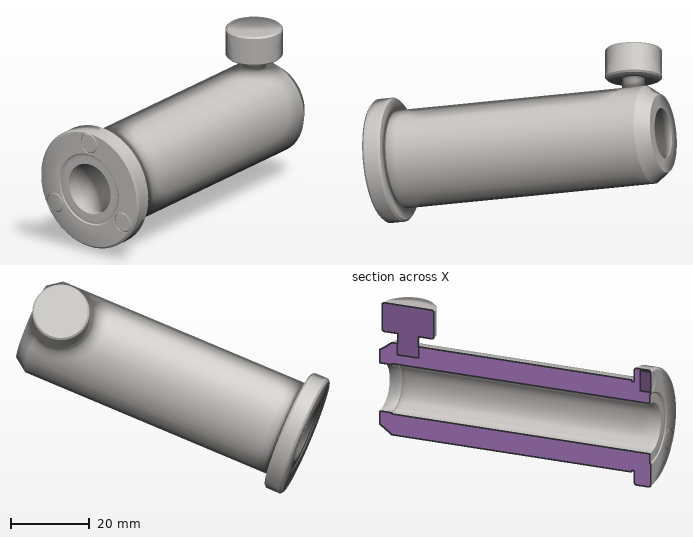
import cadquery as cq
import math

LENGTH = 76.0
TUBE_RADIUS = 12.55
FLANGE_RADIUS = 15.9
FLANGE_THICKNESS = 4.8
FLANGE_CHAMFER = 0.5
NECK_WIDTH = 0.5
NECK_DEPTH = 0.45
TIP_CHAMFER_LENGTH = 3.5
TIP_CHAMFER_DEPTH = 2.5

BORE_RADIUS = 6.8
TIP_BORE_RADIUS = 6.45
RECESS_RADIUS = 9.6
RECESS_TAPER = 0.3
RECESS_DEPTH = 0.3

PIN_COUNT = 3
PIN_RADIUS = 2.65
PIN_CHAMFER = 0.3
PIN_LENGTH = 3.05
PIN_CIRCLE_RADIUS = 12.6
FIRST_PIN_ANGLE = 90.0

KNOB_RADIUS = 7.3
KNOB_HEIGHT = 7.9
KNOB_CHAMFER = 0.45
KNOB_TOP = 23.0
KNOB_Y = 67.95
SHANK_RADIUS = 3.0
SHANK_DEPTH = 3.05

KNOB_BOTTOM = KNOB_TOP - KNOB_HEIGHT
SHANK_BOTTOM = TUBE_RADIUS - SHANK_DEPTH


def cylinder_along_y(radius, length, x=0.0, z=0.0):
    """Cylinder that starts in the flange face and runs toward the tip."""
    return cq.Workplane("XY").add(
        cq.Solid.makeCylinder(radius, length, cq.Vector(x, 0, z), cq.Vector(0, 1, 0))
    )


def make_shank():
    """Round shank from the bottom of its hole up to the knob head."""
    return (
        cq.Workplane("XY", origin=(0, KNOB_Y, SHANK_BOTTOM))
        .circle(SHANK_RADIUS)
        .extrude(KNOB_BOTTOM - SHANK_BOTTOM)
    )


def make_knob():
    head = (
        cq.Workplane("XY", origin=(0, KNOB_Y, KNOB_BOTTOM))
        .circle(KNOB_RADIUS)
        .extrude(KNOB_HEIGHT)
        .edges("%CIRCLE")
        .chamfer(KNOB_CHAMFER)
    )
    return head.union(make_shank())


def pin_centers():
    """X and Z of each pin, evenly spaced around the sleeve axis."""
    angles = [math.radians(FIRST_PIN_ANGLE + i * 360.0 / PIN_COUNT) for i in range(PIN_COUNT)]
    return [(PIN_CIRCLE_RADIUS * math.cos(a), PIN_CIRCLE_RADIUS * math.sin(a)) for a in angles]


def make_pin(x, z):
    return cylinder_along_y(PIN_RADIUS, PIN_LENGTH, x, z).faces("<Y").chamfer(PIN_CHAMFER)


def make_sleeve_blank():
    """Revolved half section: stepped bore, recess, flange, neck groove, tube and tapered tip."""
    neck_radius = TUBE_RADIUS - NECK_DEPTH
    tip_start = LENGTH - TIP_CHAMFER_LENGTH
    neck_end = FLANGE_THICKNESS + NECK_WIDTH
    return (
        cq.Workplane("XY")
        .moveTo(BORE_RADIUS, RECESS_DEPTH)
        .lineTo(RECESS_RADIUS - RECESS_TAPER, RECESS_DEPTH)
        .lineTo(RECESS_RADIUS, 0)
        .lineTo(FLANGE_RADIUS - FLANGE_CHAMFER, 0)
        .lineTo(FLANGE_RADIUS, FLANGE_CHAMFER)
        .lineTo(FLANGE_RADIUS, FLANGE_THICKNESS - FLANGE_CHAMFER)
        .lineTo(FLANGE_RADIUS - FLANGE_CHAMFER, FLANGE_THICKNESS)
        .lineTo(neck_radius, FLANGE_THICKNESS)
        .lineTo(neck_radius, neck_end)
        .lineTo(TUBE_RADIUS, neck_end)
        .lineTo(TUBE_RADIUS, tip_start)
        .lineTo(TUBE_RADIUS - TIP_CHAMFER_DEPTH, LENGTH)
        .lineTo(TIP_BORE_RADIUS, LENGTH)
        .lineTo(TIP_BORE_RADIUS, tip_start)
        .lineTo(BORE_RADIUS, tip_start)
        .close()
        .revolve(360, (0, 0, 0), (0, 1, 0))
    )


def make_sleeve():
    sleeve = make_sleeve_blank().cut(make_shank())
    for x, z in pin_centers():
        sleeve = sleeve.cut(cylinder_along_y(PIN_RADIUS, PIN_LENGTH, x, z))
    return sleeve


sleeve = make_sleeve()
knob = make_knob()
pins = [make_pin(x, z) for x, z in pin_centers()]

result = cq.Compound.makeCompound([sleeve.val(), knob.val(), *[pin.val() for pin in pins]])